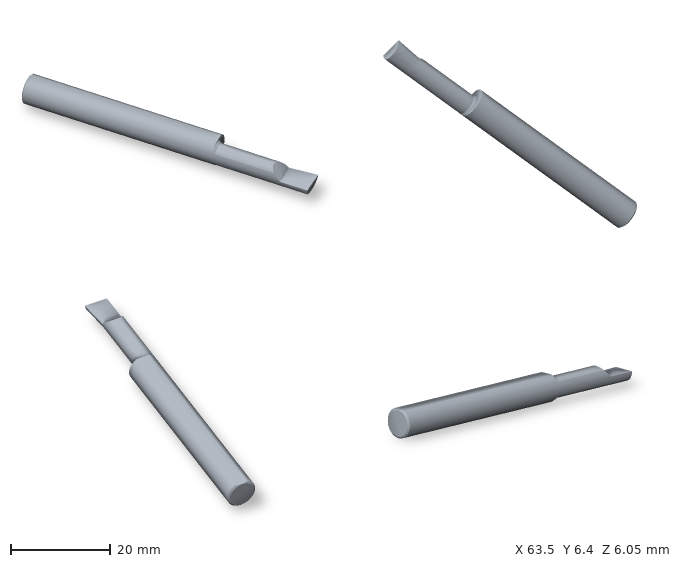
import cadquery as cq
import math

length = 63.5
shank_radius = 3.2
flat_height = 2.85
shank_length = 42.15
chamfer_length = 0.3
chamfer_depth = 0.4

neck_radius = 2.3
neck_offset = -1.1
cone_length = 0.6
cone_rise = 0.4

rake_start = 57.3
nose_y = 1.8
relief_angle = 7.0
end_angle = 2.5
tip_leg = 2.55

neck_side_y = neck_offset + neck_radius
nose_shift = nose_y - neck_side_y
root_shift = 0.005
margin = 0.65


def make_shank():
    """Round bar with a coned rear edge and a flat along its top."""
    profile = [
        (0, 0),
        (0, shank_radius - chamfer_depth),
        (chamfer_length, shank_radius),
        (shank_length, shank_radius),
        (shank_length, 0),
    ]
    bar = cq.Workplane("XY").polyline(profile).close().revolve(360, (0, 0, 0), (1, 0, 0))
    above_flat = cq.Workplane("XY").box(
        length, 2 * shank_radius, shank_radius, centered=(False, True, False)
    ).translate((0, 0, flat_height))
    return bar.cut(above_flat)


def make_neck():
    """Eccentric neck with a coned root, trimmed by the shank's round."""
    profile = [
        (shank_length, neck_offset),
        (shank_length, neck_side_y + cone_rise),
        (shank_length + cone_length, neck_side_y),
        (length, neck_side_y),
        (length, neck_offset),
    ]
    neck = (
        cq.Workplane("XY").polyline(profile).close()
        .revolve(360, (0, neck_offset, 0), (1, neck_offset, 0))
    )
    envelope = cq.Workplane("YZ").circle(shank_radius).extrude(length)
    return neck.intersect(envelope)


def make_flank():
    """Lower quarter of the neck that leans out sideways towards the nose."""
    def quarter(x, shift):
        center_y = neck_offset + shift
        diagonal = neck_radius * math.sqrt(0.5)
        return (
            cq.Workplane("YZ", origin=(x, 0, 0))
            .moveTo(neck_offset, 0)
            .lineTo(center_y + neck_radius, 0)
            .threePointArc((center_y + diagonal, -diagonal), (center_y, -neck_radius))
            .lineTo(neck_offset, -neck_radius)
            .close().val()
        )

    return cq.Workplane(
        cq.Solid.makeLoft([quarter(rake_start, root_shift), quarter(length, nose_shift)], True)
    )


def make_rake_cut():
    """Space above the rake face, with a 45 degree run-out at its rear."""
    profile = [
        (rake_start, 0),
        (length + margin, 0),
        (length + margin, shank_radius),
        (rake_start - shank_radius, shank_radius),
    ]
    return (
        cq.Workplane("XZ").polyline(profile).close()
        .extrude(shank_radius + margin, both=True)
    )


def make_end_cut():
    """Space in front of the end face, which leans back below and away from the nose."""
    size = 4 * shank_radius
    return (
        cq.Workplane("XY").box(size, size, size, centered=(False, True, True))
        .rotate((0, 0, 0), (0, 1, 0), relief_angle)
        .rotate((0, 0, 0), (0, 0, 1), -end_angle)
        .translate((length, nose_y, 0))
    )


def make_tip_region():
    """Triangular column around the nose, bounded by a 45 degree vertical face."""
    corners = [
        (length - tip_leg, nose_y),
        (length, nose_y - tip_leg),
        (length + margin, nose_y - tip_leg - margin),
        (length + margin, nose_y + margin),
        (length - tip_leg - margin, nose_y + margin),
    ]
    return cq.Workplane("XY").polyline(corners).close().extrude(-shank_radius)


bar = make_shank().union(make_neck()).union(make_flank())
bar = bar.cut(make_rake_cut()).cut(make_end_cut())

holder = bar.cut(make_tip_region())
cutting_tip = bar.intersect(make_tip_region())

result = cq.Compound.makeCompound([holder.solids().val(), cutting_tip.solids().val()])